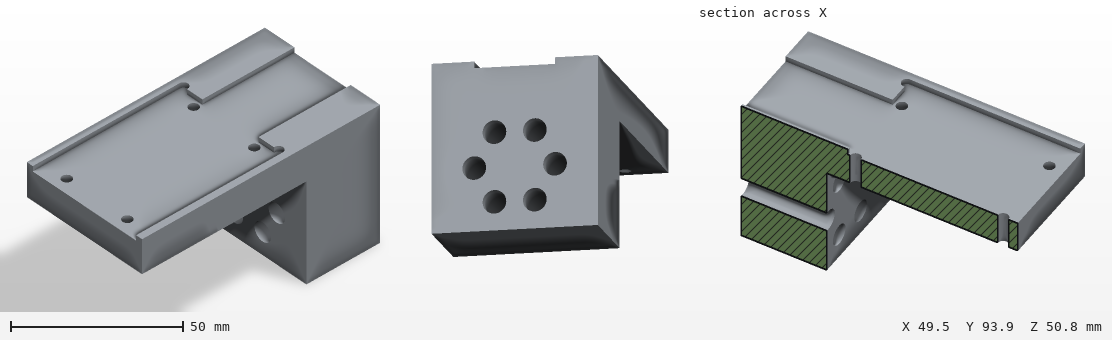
import cadquery as cq

width = 49.5
length = 93.9
height = 50.8
plate_thickness = 12.9
block_depth = 29.1
block_height = height - plate_thickness

recess_depth = 2.0
pocket_width = 44.3
pocket_length = 57.55
channel_width = 24.1
relief_diameter = 3.5
relief_offset = 0.3

plate_hole_diameter = 3.7
plate_hole_spacing_x = 26.0
plate_hole_spacing_y = 50.0
front_hole_y = 5.0

block_hole_diameter = 7.0
block_hole_count = 6
bolt_circle_radius = 12.0


def make_body():
    """L-shaped bracket, centred on X, with its front at Y = 0 and its base at Z = 0."""
    return (
        cq.Workplane("YZ")
        .moveTo(length, 0)
        .lineTo(length, height)
        .lineTo(0, height)
        .lineTo(0, block_height)
        .lineTo(length - block_depth, block_height)
        .lineTo(length - block_depth, 0)
        .close()
        .extrude(width / 2, both=True)
    )


def make_recess():
    """Pocket, channel and the round reliefs at the two inner pocket corners."""
    floor = cq.Workplane("XY", origin=(0, 0, height - recess_depth))
    pocket = floor.center(0, pocket_length / 2).rect(pocket_width, pocket_length).extrude(recess_depth)
    channel = floor.center(0, length / 2).rect(channel_width, length).extrude(recess_depth)
    relief_x = (pocket_width - relief_diameter) / 2
    relief_y = pocket_length + relief_offset
    reliefs = (
        floor.pushPoints([(-relief_x, relief_y), (relief_x, relief_y)])
        .circle(relief_diameter / 2)
        .extrude(recess_depth)
    )
    return pocket.union(channel).union(reliefs)


def make_plate_holes():
    return (
        cq.Workplane("XY", origin=(0, front_hole_y + plate_hole_spacing_y / 2, block_height))
        .rarray(plate_hole_spacing_x, plate_hole_spacing_y, 2, 2)
        .circle(plate_hole_diameter / 2)
        .extrude(plate_thickness)
    )


def make_block_holes():
    """Ring of holes along Y, centred on the block face below the plate."""
    return (
        cq.Workplane("XZ", origin=(0, length, block_height / 2))
        .polarArray(bolt_circle_radius, 0, 360, block_hole_count)
        .circle(block_hole_diameter / 2)
        .extrude(block_depth)
    )


result = make_body().cut(make_recess()).cut(make_plate_holes()).cut(make_block_holes())